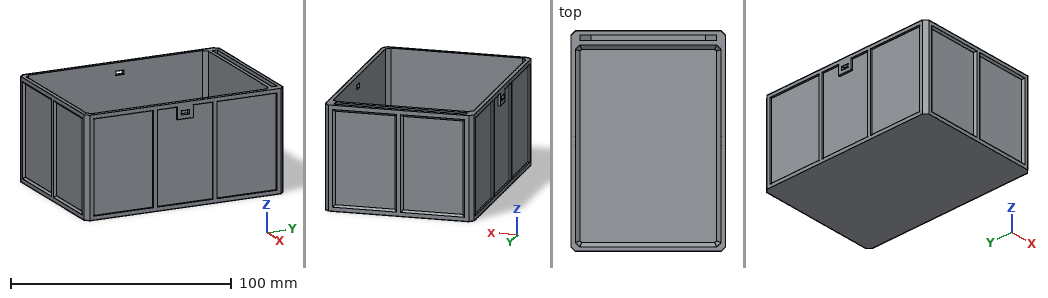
import cadquery as cq

width = 70
length = 100
height = 50
corner_chamfer = 2

wall = 2
floor = 2
slot_thickness = 2.5
back_wall = 2 * wall + slot_thickness
cavity_chamfer = 2

slot_end_margin = 4
slot_floor_chamfer = 5

rib = 2
frame = corner_chamfer + rib
panel_height = height - 2 * rib
panel_width = (width - 2 * frame - rib) / 2
panel_depth = 1
panel_taper = 45

pad_width = 8
pad_drop = 8
window_width = 4
window_height = 2
window_drop = 4


def box_between(x0, x1, y0, y1, z0, z1):
    return cq.Workplane("XY").box(x1 - x0, y1 - y0, z1 - z0, centered=False).translate((x0, y0, z0))


def panel_spans(total):
    """Start and end of each panel: one beside each corner, plus any space left between their ribs."""
    spans = [(frame, frame + panel_width), (total - frame - panel_width, total - frame)]
    middle = (frame + panel_width + rib, total - frame - panel_width - rib)
    if middle[1] > middle[0]:
        spans.append(middle)
    return spans


def make_cavity():
    cavity = box_between(wall, width - wall, wall, length - back_wall, floor, height)
    return cavity.edges("|Z").chamfer(cavity_chamfer).faces("<Z").edges().chamfer(cavity_chamfer)


def make_slot():
    y_outer = length - wall
    slot = box_between(
        slot_end_margin, width - slot_end_margin, y_outer - slot_thickness, y_outer, floor, height
    )
    return slot.faces("<Z").edges("|Y").chamfer(slot_floor_chamfer)


def make_front_panels():
    """Recesses in the front end, with all four walls sloping inward at 45 degrees."""
    panels = cq.Workplane("XY")
    for x0, x1 in panel_spans(width):
        panel = (
            cq.Workplane("XZ", origin=((x0 + x1) / 2, 0, height / 2))
            .rect(x1 - x0, panel_height)
            .extrude(-panel_depth, taper=panel_taper)
        )
        panels = panels.add(panel)
    return panels.combine()


def make_left_panels():
    """Straight recesses in the left side, leaving the pad around the window."""
    panels = cq.Workplane("XY")
    for y0, y1 in panel_spans(length):
        panels = panels.add(box_between(0, panel_depth, y0, y1, rib, rib + panel_height))
    pad = box_between(
        0, panel_depth, (length - pad_width) / 2, (length + pad_width) / 2, height - pad_drop, height
    )
    return panels.combine().cut(pad)


def make_windows():
    """One opening through both long sides."""
    top = height - window_drop
    return box_between(
        0, width, (length - window_width) / 2, (length + window_width) / 2, top - window_height, top
    )


body = box_between(0, width, 0, length, 0, height).edges("|Z").chamfer(corner_chamfer)
body = body.cut(make_cavity()).cut(make_slot()).cut(make_windows())

front_panels = make_front_panels()
back_panels = front_panels.mirror("XZ", (0, length / 2, 0))
left_panels = make_left_panels()
right_panels = left_panels.mirror("YZ", (width / 2, 0, 0))
for panels in (front_panels, back_panels, left_panels, right_panels):
    body = body.cut(panels)

result = body